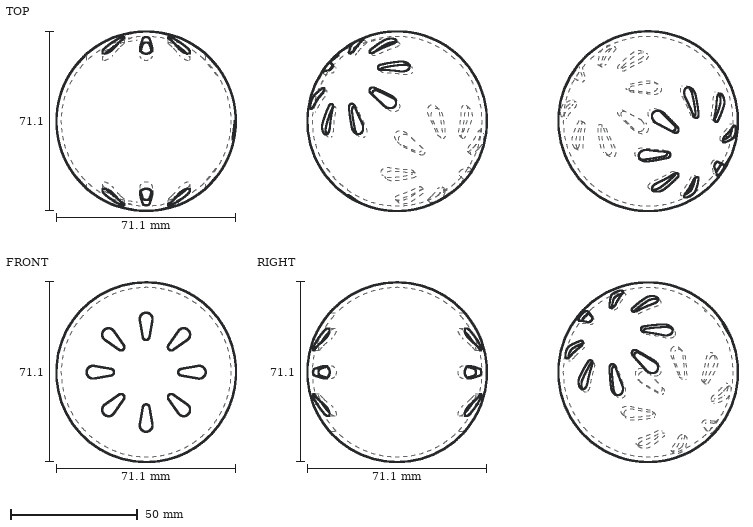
import cadquery as cq
import math

outer_radius = 35.55
wall = 2.0

slot_count = 8
wide_end_radius = 2.5
narrow_end_radius = 1.3
wide_end_distance = 21.0
narrow_end_distance = 14.0


def hollow_ball():
    cavity = cq.Workplane("XY").sphere(outer_radius - wall)
    return cq.Workplane("XY").sphere(outer_radius).cut(cavity)


def teardrop_slot():
    """Cutter along Y: two end arcs joined by their common tangent lines."""
    end_spacing = wide_end_distance - narrow_end_distance
    normal_x = (narrow_end_radius - wide_end_radius) / end_spacing
    normal_z = math.sqrt(1 - normal_x**2)

    wide_x = wide_end_distance + wide_end_radius * normal_x
    wide_z = wide_end_radius * normal_z
    narrow_x = narrow_end_distance + narrow_end_radius * normal_x
    narrow_z = narrow_end_radius * normal_z

    return (
        cq.Workplane("XZ")
        .moveTo(narrow_x, narrow_z)
        .lineTo(wide_x, wide_z)
        .threePointArc((wide_end_distance + wide_end_radius, 0), (wide_x, -wide_z))
        .lineTo(narrow_x, -narrow_z)
        .threePointArc((narrow_end_distance - narrow_end_radius, 0), (narrow_x, narrow_z))
        .close()
        .extrude(outer_radius, both=True)
    )


result = hollow_ball()
slot = teardrop_slot()
for index in range(slot_count):
    angle = index * 360 / slot_count
    result = result.cut(slot.rotate((0, 0, 0), (0, 1, 0), angle))